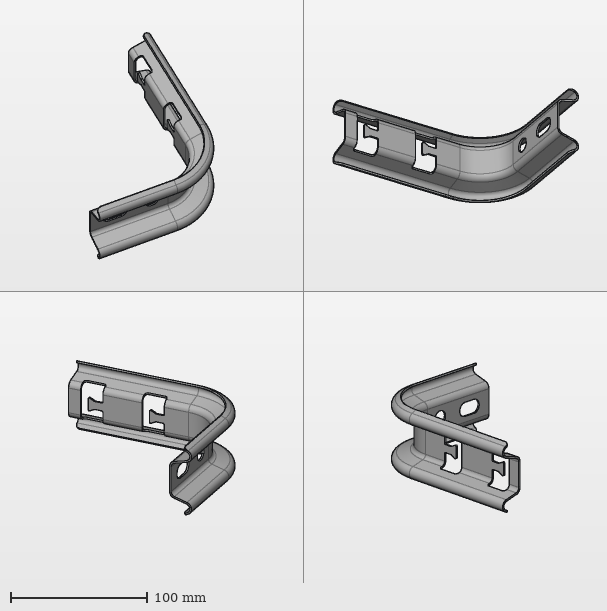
import cadquery as cq
import math

LENGTH = 144.5
WIDTH = 109.5
HEIGHT = 55.0

DEPTH = 18.0
SHEET = 1.5
FOLD_RADIUS = 5.0
FOLD_INSIDE = FOLD_RADIUS - SHEET
WEB_FLAT = 20.0
FLANGE_ANGLE = math.radians(15)
LIP_ANGLE = math.radians(26)
LIP_CORNER_RADIUS = 4.0

BEND_RADIUS = 46.5
LONG_ARM = LENGTH - BEND_RADIUS
SHORT_ARM = WIDTH - BEND_RADIUS

WINDOW_COUNT = 2
WINDOW_START = 10.0
WINDOW_PITCH = 50.0
WINDOW_LENGTH = 18.0
WINDOW_DEPTH = 6.8
WINDOW_CORNER_RADIUS = 2.0
TAB_TIP_GAP = 6.0
TAB_TIP_WIDTH = 11.8
TAB_TAPER_LENGTH = 5.3
TAB_NECK_WIDTH = 6.4
TAB_CORNER_RADIUS = 1.0

HOLE_DIAMETER = 11.0
SLOT_LENGTH = 20.0
SLOT_FROM_END = 20.0
ROUND_HOLE_FROM_END = 50.0


def shifted(point, distance, direction):
    return (point[0] + distance * direction[0], point[1] + distance * direction[1])


def section(plane, lip_position):
    """Closed sheet profile; depth grows from lip_position along negative local X."""
    flange_run = (-math.cos(FLANGE_ANGLE), math.sin(FLANGE_ANGLE))
    flange_up = (math.sin(FLANGE_ANGLE), math.cos(FLANGE_ANGLE))
    lip_run = (math.cos(LIP_ANGLE), math.sin(LIP_ANGLE))
    lip_out = (-math.sin(LIP_ANGLE), math.cos(LIP_ANGLE))

    fold_center = (DEPTH - FOLD_RADIUS, WEB_FLAT / 2)
    flange_base = shifted(fold_center, FOLD_RADIUS + FOLD_INSIDE, flange_up)
    flange_length = (flange_base[0] - FOLD_RADIUS) / math.cos(FLANGE_ANGLE)
    lip_center = shifted(flange_base, flange_length, flange_run)

    lip_start = shifted(lip_center, FOLD_RADIUS, lip_out)
    lip_length = (HEIGHT / 2 - lip_start[1]) / math.sin(LIP_ANGLE)
    fold_middle_angle = (math.pi / 2 - FLANGE_ANGLE) / 2
    fold_middle = (math.cos(fold_middle_angle), math.sin(fold_middle_angle))

    def skin(fold_radius, lip_radius):
        lip_tangent = shifted(lip_center, lip_radius, lip_out)
        return [
            shifted(fold_center, fold_radius, (1, 0)),
            shifted(fold_center, fold_radius, fold_middle),
            shifted(fold_center, fold_radius, flange_up),
            shifted(lip_center, -lip_radius, flange_up),
            shifted(lip_center, lip_radius, (-1, 0)),
            lip_tangent,
            shifted(lip_tangent, lip_length, lip_run),
        ]

    def placed(point, side):
        return (lip_position - point[0], side * point[1])

    web_side = skin(FOLD_RADIUS, FOLD_INSIDE)
    back_side = skin(FOLD_INSIDE, FOLD_RADIUS)

    def trace_out(path, points, side):
        web, fold, flange, lip_fold, lip_middle, lip, tip = [placed(p, side) for p in points]
        path = path.lineTo(*web).threePointArc(fold, flange)
        return path.lineTo(*lip_fold).threePointArc(lip_middle, lip).lineTo(*tip)

    def trace_in(path, points, side):
        web, fold, flange, lip_fold, lip_middle, lip, tip = [placed(p, side) for p in points]
        path = path.lineTo(*tip).lineTo(*lip).threePointArc(lip_middle, lip_fold)
        return path.lineTo(*flange).threePointArc(fold, web)

    path = plane.moveTo(lip_position - DEPTH, 0)
    path = trace_out(path, web_side, 1)
    path = trace_in(path, back_side, 1)
    path = trace_out(path, back_side, -1)
    path = trace_in(path, web_side, -1)
    return path.close()


def round_lip_corners(arm, end_face, depth_axis):
    """Round the free corners of both lips at the end of an arm."""
    for side in (1, -1):
        across_lip = depth_axis * math.sin(LIP_ANGLE) - cq.Vector(0, 0, side * math.cos(LIP_ANGLE))
        lip_edge = cq.selectors.ParallelDirSelector(across_lip)
        arm = arm.faces(end_face).edges(lip_edge).fillet(LIP_CORNER_RADIUS)
    return arm


def long_arm():
    arm = section(cq.Workplane("YZ"), 0).extrude(LONG_ARM)
    return round_lip_corners(arm, "<X", cq.Vector(0, -1, 0))


def bend():
    plane = cq.Workplane("YZ", origin=(LONG_ARM, 0, 0))
    return section(plane, 0).revolve(90, (-BEND_RADIUS, 1.5), (-BEND_RADIUS, 0))


def short_arm():
    plane = cq.Workplane("XZ", origin=(0, -BEND_RADIUS, 0))
    arm = section(plane, LENGTH).extrude(SHORT_ARM)
    return round_lip_corners(arm, "<Y", cq.Vector(-1, 0, 0))


def window_cutter(start):
    """Cutter through the web and both flanges, rounded at its deep corners."""
    return (
        cq.Workplane("XY", origin=(start, -DEPTH, 0))
        .box(WINDOW_LENGTH, 2 * WINDOW_DEPTH, HEIGHT, centered=(False, True, True))
        .edges("|Z and >Y")
        .fillet(WINDOW_CORNER_RADIUS)
    )


def dovetail_tab(start):
    """Tab in the web sheet that points to -X inside the window beginning at start."""
    tip = start + TAB_TIP_GAP
    taper_end = tip + TAB_TAPER_LENGTH
    root = start + WINDOW_LENGTH
    tip_half = TAB_TIP_WIDTH / 2
    neck_half = TAB_NECK_WIDTH / 2
    root_half = neck_half + TAB_CORNER_RADIUS
    anchor = root + SHEET
    tab = (
        cq.Workplane("XZ", origin=(0, -DEPTH, 0))
        .moveTo(tip, tip_half)
        .lineTo(taper_end, neck_half)
        .lineTo(root - TAB_CORNER_RADIUS, neck_half)
        .radiusArc((root, root_half), -TAB_CORNER_RADIUS)
        .lineTo(anchor, root_half)
        .lineTo(anchor, -root_half)
        .lineTo(root, -root_half)
        .radiusArc((root - TAB_CORNER_RADIUS, -neck_half), -TAB_CORNER_RADIUS)
        .lineTo(taper_end, -neck_half)
        .lineTo(tip, -tip_half)
        .close()
        .extrude(-SHEET)
    )
    return tab.faces("<X").edges("|Y").fillet(TAB_CORNER_RADIUS)


def fixing_holes():
    """Round hole and lengthwise slot through the web of the short arm."""
    web_x = LENGTH - DEPTH
    plane = cq.Workplane("YZ", origin=(web_x, -WIDTH, 0))
    round_hole = plane.center(ROUND_HOLE_FROM_END, 0).circle(HOLE_DIAMETER / 2).extrude(SHEET)
    slot = plane.center(SLOT_FROM_END, 0).slot2D(SLOT_LENGTH, HOLE_DIAMETER).extrude(SHEET)
    return round_hole.union(slot)


body = long_arm().union(bend()).union(short_arm())
for window in range(WINDOW_COUNT):
    window_start = WINDOW_START + window * WINDOW_PITCH
    body = body.cut(window_cutter(window_start))
    body = body.union(dovetail_tab(window_start))

result = body.cut(fixing_holes())